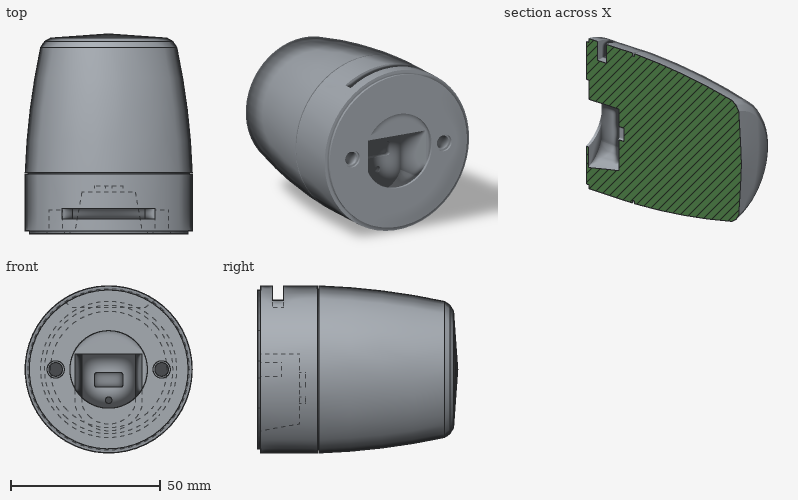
import cadquery as cq
import math

LENGTH = 67.0
BODY_RADIUS = 28.0

LIP_RADIUS = 26.6
LIP_HEIGHT = 1.0
BASE_END = 20.0
GROOVE_WIDTH = 0.5
GROOVE_DEPTH = 1.0

BARREL_TIP_RADIUS = 22.8
BARREL_TIP_Y = 62.5
BARREL_BULGE = 0.95
SHOULDER_RADIUS = 21.5
SHOULDER_Y = 64.4
TIP_EDGE_RADIUS = 19.5
TIP_RISE = 1.4

SLOT_FRONT_Y = 5.0
SLOT_WIDTH = 3.6
SLOT_HALF_LENGTH = 15.6
SLOT_FLOOR_HALF_LENGTH = 12.15
SLOT_FLOOR_Z = 20.7

SOCKET_RADIUS = 13.0
RECESS_DEPTH = 1.0
SOCKET_DEPTH = 14.0
SOCKET_DRAFT = 10.0
SOCKET_FLAT_Z = 5.2
SOCKET_FLOOR_WIDTH = 17.9
SOCKET_WALL_BOTTOM_Z = -11.8
SOCKET_FLOOR_BOTTOM_Z = -18.3

CONNECTOR_WIDTH = 9.5
CONNECTOR_HEIGHT = 4.9
CONNECTOR_CORNER_RADIUS = 0.8
CONNECTOR_Z = -3.5
CONNECTOR_DEPTH = 2.0
PIN_DIAMETER = 2.2
PIN_Z = -10.3
PIN_DEPTH = 2.0

HOLE_OFFSET = 17.75
HOLE_DIAMETER = 4.6
COUNTERBORE_DIAMETER = 5.8
COUNTERBORE_DEPTH = 1.0
HOLE_DEPTH = 8.0


def cross_section(y):
    """Sketch plane at height y along the body; local x = X, local y = Z, extrudes toward +Y."""
    return cq.Workplane(cq.Plane(origin=(0, y, 0), xDir=(1, 0, 0), normal=(0, -1, 0)))


def bore(radius, start, depth, x=0.0, z=0.0):
    return cross_section(start).center(x, z).circle(radius).extrude(-depth)


def make_body():
    barrel_start = BASE_END + GROOVE_WIDTH
    groove_radius = BODY_RADIUS - GROOVE_DEPTH
    barrel_middle = (
        (BODY_RADIUS + BARREL_TIP_RADIUS) / 2 + BARREL_BULGE,
        (barrel_start + BARREL_TIP_Y) / 2,
    )
    profile = (
        cq.Workplane("XY")
        .lineTo(LIP_RADIUS, 0)
        .lineTo(LIP_RADIUS, LIP_HEIGHT)
        .lineTo(BODY_RADIUS, LIP_HEIGHT)
        .lineTo(BODY_RADIUS, BASE_END)
        .lineTo(groove_radius, BASE_END)
        .lineTo(groove_radius, barrel_start)
        .lineTo(BODY_RADIUS, barrel_start)
        .threePointArc(barrel_middle, (BARREL_TIP_RADIUS, BARREL_TIP_Y))
        .lineTo(SHOULDER_RADIUS, SHOULDER_Y)
        .lineTo(TIP_EDGE_RADIUS, LENGTH - TIP_RISE)
        .lineTo(0, LENGTH)
        .close()
    )
    return profile.revolve(360, (0, 0, 0), (0, 1, 0))


def make_slot():
    """Flat-floored slot whose end walls lean outward, carried up to the crown of the base."""
    rim_z = math.sqrt(BODY_RADIUS**2 - SLOT_HALF_LENGTH**2)
    lean = (SLOT_HALF_LENGTH - SLOT_FLOOR_HALF_LENGTH) / (rim_z - SLOT_FLOOR_Z)
    top_half_length = SLOT_FLOOR_HALF_LENGTH + lean * (BODY_RADIUS - SLOT_FLOOR_Z)
    return (
        cross_section(SLOT_FRONT_Y)
        .moveTo(-SLOT_FLOOR_HALF_LENGTH, SLOT_FLOOR_Z)
        .lineTo(SLOT_FLOOR_HALF_LENGTH, SLOT_FLOOR_Z)
        .lineTo(top_half_length, BODY_RADIUS)
        .lineTo(-top_half_length, BODY_RADIUS)
        .close()
        .extrude(-SLOT_WIDTH)
    )


def make_socket():
    """Shallow round recess over a deeper pocket: flat top, drafted sides, arched bottom."""
    recess = bore(SOCKET_RADIUS, 0, RECESS_DEPTH)
    half_width = SOCKET_FLOOR_WIDTH / 2
    pocket = (
        cross_section(SOCKET_DEPTH)
        .moveTo(-half_width, BODY_RADIUS)
        .lineTo(-half_width, SOCKET_WALL_BOTTOM_Z)
        .threePointArc((0, SOCKET_FLOOR_BOTTOM_Z), (half_width, SOCKET_WALL_BOTTOM_Z))
        .lineTo(half_width, BODY_RADIUS)
        .close()
        .extrude(SOCKET_DEPTH - RECESS_DEPTH, taper=-SOCKET_DRAFT)
    )
    below_flat = cq.Workplane("XY").workplane(offset=SOCKET_FLAT_Z)
    below_flat = below_flat.rect(2 * BODY_RADIUS, 2 * LENGTH).extrude(-LENGTH)
    return recess.union(pocket.intersect(below_flat))


def make_connector_opening():
    return (
        cross_section(SOCKET_DEPTH)
        .center(0, CONNECTOR_Z)
        .rect(CONNECTOR_WIDTH, CONNECTOR_HEIGHT)
        .extrude(-CONNECTOR_DEPTH)
        .edges("|Y")
        .fillet(CONNECTOR_CORNER_RADIUS)
    )


def make_mounting_hole(x):
    counterbore = bore(COUNTERBORE_DIAMETER / 2, 0, COUNTERBORE_DEPTH, x)
    return counterbore.union(bore(HOLE_DIAMETER / 2, 0, HOLE_DEPTH, x))


result = make_body().cut(make_slot()).cut(make_socket()).cut(make_connector_opening())
result = result.cut(bore(PIN_DIAMETER / 2, SOCKET_DEPTH, PIN_DEPTH, z=PIN_Z))
for side in (-1, 1):
    result = result.cut(make_mounting_hole(side * HOLE_OFFSET))